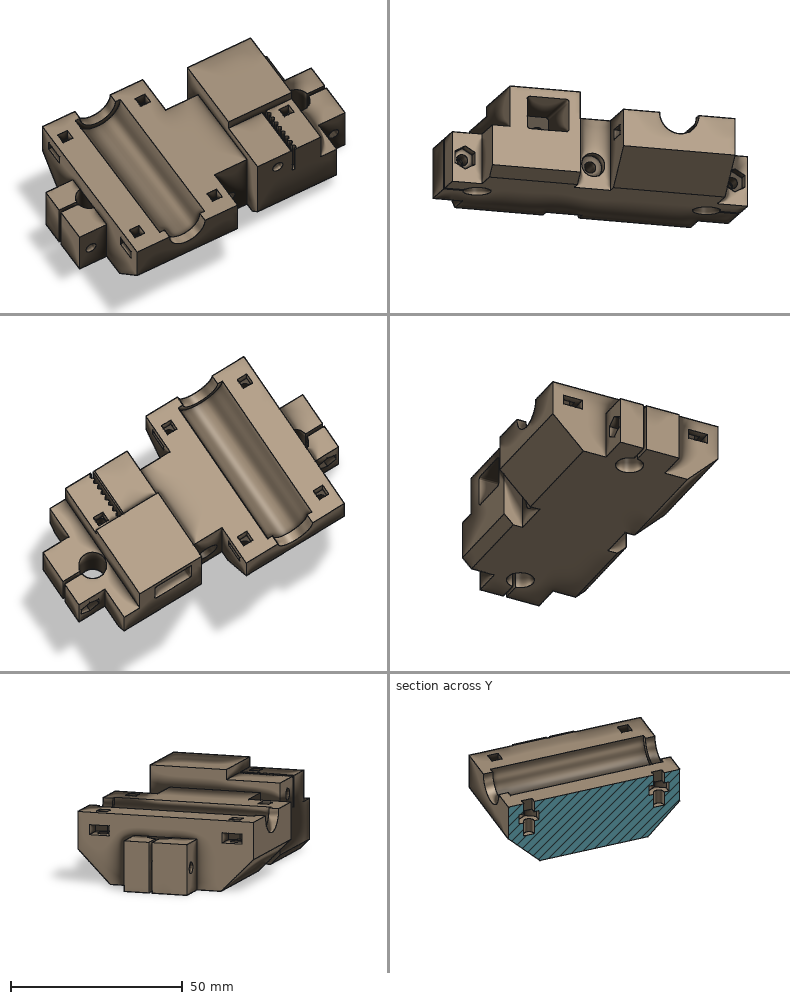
import cadquery as cq
import math

length = 90.0
height = 27.3

base_width = 54.0
base_front = 9.2
base_rear = 43.2
base_top = 21.1
base_chamfer = 10.0

neck_width = 27.9
neck_rear = 54.2

block_width = 40.0
block_rear = 75.6
shoulder_rear = 81.0
block_chamfer = 3.0
step_x = 3.4
step_drop = 3.0
step_top = height - step_drop

lug_width = 19.3
lug_top = 15.0
rod_x = -1.5
rod_diameter = 8.1
rod_inset = 10.0
slit_width = 1.0
clamp_screw_inset = 3.9
clamp_screw_diameter = 3.3
clamp_screw_z = lug_top / 2

nut_corner_diameter = 7.0
nut_flats = nut_corner_diameter * math.cos(math.radians(30))
lug_nut_depth = 3.0

bearing_y = (base_front + base_rear) / 2
bearing_diameter = 15.2
bearing_length = 48.1
shaft_diameter = 12.0

cover_screw_x = 20.4
cover_screw_pitch = 26.3
screw_square = 3.2
screw_diameter = 3.2
nut_slot_floor = 14.4
nut_slot_height = 3.0
nut_slot_top = nut_slot_floor + nut_slot_height
screw_hole_below = 4.5

belt_screw_x = 6.5
belt_screw_y = 72.0
belt_square_x = 3.0
belt_screw_diameter = 3.0

belt_wall_y = 66.0
belt_tooth_y = 66.9
belt_lead_in = 0.45
tooth_count = 8
first_tooth_x = 4.95
last_tooth_x = 19.0
tooth_pitch = (last_tooth_x - first_tooth_x) / (tooth_count - 1)
tooth_width = 1.2
tooth_height = 0.75

pocket_front = 57.6
pocket_rear = 70.4
pocket_floor = 14.85
pocket_top = 24.7
pocket_radius = 1.0
pocket_end_wall = 3.0
tension_hole_y = 61.0
tension_hole_z = 19.8
tension_hole_diameter = 3.4

neck_screw_y = 48.4
neck_screw_z = 7.3
neck_screw_diameter = 3.3
neck_head_diameter = 7.0
neck_head_depth = 3.0


def box(x0, x1, y0, y1, z0, z1):
    """Box between two opposite corners."""
    return cq.Workplane("XY").box(x1 - x0, y1 - y0, z1 - z0, centered=False).translate((x0, y0, z0))


def centred_box(width, y0, y1, top):
    """Box standing on the underside, centred on X."""
    return box(-width / 2, width / 2, y0, y1, 0, top)


def x_cylinder(diameter, x0, x1, y, z):
    """Cylinder along X."""
    return cq.Workplane("YZ", origin=(x0, y, z)).circle(diameter / 2).extrude(x1 - x0)


def z_cylinder(diameter, x, y, z0, z1):
    """Upright cylinder."""
    return cq.Workplane("XY", origin=(x, y, z0)).circle(diameter / 2).extrude(z1 - z0)


def chamfered_box(width, y0, y1, top, chamfer):
    """Box on the underside with its two long lower edges chamfered."""
    return centred_box(width, y0, y1, top).edges("|Y and <Z").chamfer(chamfer)


def body():
    """All the solid material before cutting."""
    base = chamfered_box(base_width, base_front, base_rear, base_top, base_chamfer)
    neck = centred_box(neck_width, base_rear, neck_rear, base_top)
    block = chamfered_box(block_width, neck_rear, shoulder_rear, height, block_chamfer)
    block_side = block_width / 2
    block = block.cut(box(-block_side, block_side, block_rear, shoulder_rear, lug_top, height))
    block = block.cut(box(step_x, block_side, neck_rear, block_rear, step_top, height))
    front_lug = centred_box(lug_width, 0, base_front, lug_top)
    rear_lug = centred_box(lug_width, shoulder_rear, length, lug_top)
    return base.union(neck).union(block).union(front_lug).union(rear_lug)


def rod_clamp(end_y, inward):
    """Rod bore, slit and cross screw of one lug; inward is the Y direction into the part."""
    rod_y = end_y + inward * rod_inset
    screw_y = end_y + inward * clamp_screw_inset
    left = -lug_width / 2
    cut = z_cylinder(rod_diameter, rod_x, rod_y, 0, lug_top)
    slit = box(
        rod_x - slit_width / 2, rod_x + slit_width / 2, min(end_y, rod_y), max(end_y, rod_y), 0, lug_top
    )
    screw = x_cylinder(clamp_screw_diameter, left, -left, screw_y, clamp_screw_z)
    nut = (
        cq.Workplane("YZ", origin=(left, screw_y, clamp_screw_z))
        .polygon(6, nut_corner_diameter)
        .extrude(lug_nut_depth)
        .rotate((0, screw_y, clamp_screw_z), (1, screw_y, clamp_screw_z), 90)
    )
    return cut.union(slit).union(screw).union(nut)


def bearing_seat():
    """Half-round seat for the bearing, with a narrower shaft passage through both end walls."""
    seat = x_cylinder(bearing_diameter, -bearing_length / 2, bearing_length / 2, bearing_y, base_top)
    shaft = x_cylinder(shaft_diameter, -base_width / 2, base_width / 2, bearing_y, base_top)
    return seat.union(shaft)


def cover_screw(x, y, face_y):
    """Square entry, captive nut slot open to face_y, and a blind round hole below."""
    half_square = screw_square / 2
    entry = box(x - half_square, x + half_square, y - half_square, y + half_square, nut_slot_top, base_top)
    slot = box(
        x - nut_flats / 2, x + nut_flats / 2, min(y, face_y), max(y, face_y), nut_slot_floor, nut_slot_top
    )
    nut = (
        cq.Workplane("XY", origin=(x, y, nut_slot_floor))
        .transformed(rotate=(0, 0, 90))
        .polygon(6, nut_corner_diameter)
        .extrude(nut_slot_height)
    )
    hole = z_cylinder(screw_diameter, x, y, nut_slot_floor - screw_hole_below, nut_slot_floor)
    return entry.union(slot).union(nut).union(hole)


def belt_screw():
    """Square entry in the lowered part of the block, with a blind round hole below."""
    entry_floor = step_top - (base_top - nut_slot_top)
    entry = box(
        belt_screw_x - belt_square_x / 2, belt_screw_x + belt_square_x / 2,
        belt_screw_y - screw_square / 2, belt_screw_y + screw_square / 2,
        entry_floor, step_top,
    )
    hole = z_cylinder(
        belt_screw_diameter, belt_screw_x, belt_screw_y, entry_floor - screw_hole_below, entry_floor
    )
    return entry.union(hole)


def belt_slot():
    """Slot for a toothed belt, with round-ended tooth gaps and a chamfered lead-in on its plain wall."""
    end_x = block_width / 2
    slot = box(step_x, end_x, belt_wall_y, belt_tooth_y, lug_top, step_top)
    tooth_radius = tooth_width / 2
    for i in range(tooth_count):
        x = first_tooth_x + i * tooth_pitch
        arc_y = belt_tooth_y + tooth_height - tooth_radius
        gap = box(x - tooth_radius, x + tooth_radius, belt_wall_y, arc_y, lug_top, step_top)
        slot = slot.union(gap).union(z_cylinder(tooth_width, x, arc_y, lug_top, step_top))
    lead_in = (
        cq.Workplane("YZ", origin=(step_x, belt_wall_y, step_top))
        .polyline([(0, 0), (-belt_lead_in, 0), (0, -belt_lead_in)])
        .close()
        .extrude(end_x - step_x)
    )
    return slot.union(lead_in)


def tensioner_pocket():
    """Rounded pocket from the -X side and a hole that carries on to the +X side."""
    left = -block_width / 2
    pocket = box(left, step_x - pocket_end_wall, pocket_front, pocket_rear, pocket_floor, pocket_top)
    pocket = pocket.edges("|X").fillet(pocket_radius)
    return pocket.union(x_cylinder(tension_hole_diameter, left, -left, tension_hole_y, tension_hole_z))


def neck_screw():
    """Cross hole through the neck, counterbored on the -X side."""
    left = -neck_width / 2
    hole = x_cylinder(neck_screw_diameter, left, -left, neck_screw_y, neck_screw_z)
    head = x_cylinder(neck_head_diameter, left, left + neck_head_depth, neck_screw_y, neck_screw_z)
    return hole.union(head)


result = body()
result = result.cut(rod_clamp(0, 1)).cut(rod_clamp(length, -1))
result = result.cut(bearing_seat())
for side in (-1, 1):
    for end, face_y in ((-1, base_front), (1, base_rear)):
        screw_y = bearing_y + end * cover_screw_pitch / 2
        result = result.cut(cover_screw(side * cover_screw_x, screw_y, face_y))
result = result.cut(belt_screw()).cut(belt_slot())
result = result.cut(tensioner_pocket()).cut(neck_screw())